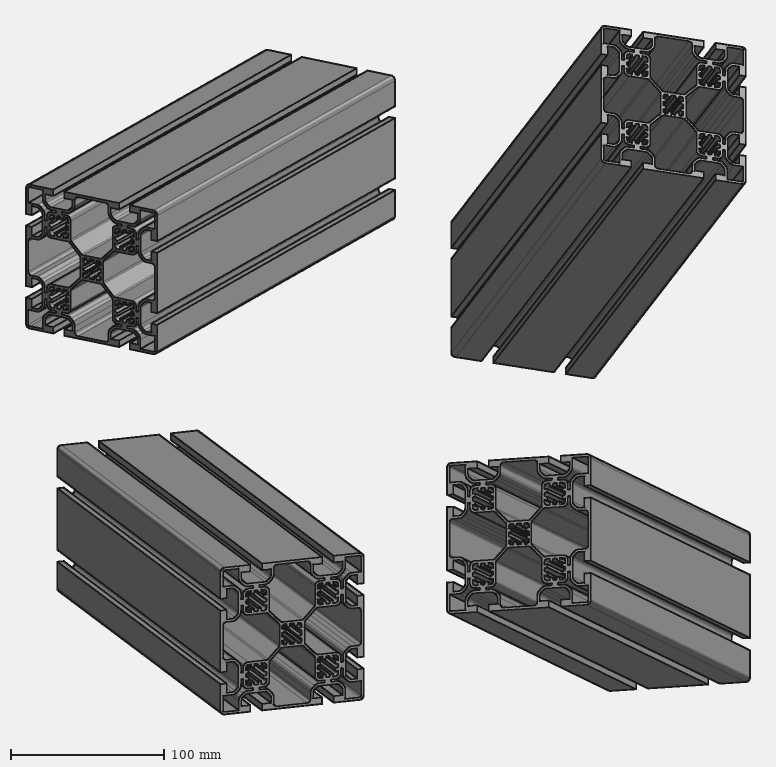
import cadquery as cq
import math

length = 300
width = length / 3
half = width / 2
wall = 1.8
outer_radius = 3.0
inner_radius = 1.0

slot_offset = width / 4
slot_opening = 8.0
lip_thickness = 4.5
chamber_width = 20.7
chamber_depth = 12.5
chamber_chamfer = 3.3
chamber_fillet = 3.0
chamber_back_chamfer = 4.2
chamber_back_fillet = 4.5
lip_fillet = 2.5

channel_width = 18.0
channel_radius = 3.3
channel_inner_radius = 2.0
channel_tooth_height = 1.95
channel_groove_radius = 1.5
channel_teeth_width = 7.2
rib_width = 4.2
rib_fillet = 0.75

core_width = 17.5
core_corner_chamfer = 1.2
core_tooth_offset = 2.7
core_tooth_base = 3.0
core_tooth_tip = 1.0
core_tooth_height = 2.25

web_thickness = 1.8
web_fillet = 1.8


def prism(points):
    """Full-length bar with the given outline in the XZ plane."""
    return cq.Workplane("XZ").polyline(points).close().extrude(length / 2, both=True)


def box_bar(x_min, x_max, z_min, z_max):
    """Full-length rectangular bar."""
    return prism([(x_min, z_min), (x_max, z_min), (x_max, z_max), (x_min, z_max)])


def square_bar(side):
    """Full-length square bar on the Y axis."""
    return box_bar(-side / 2, side / 2, -side / 2, side / 2)


def turned(shape, quarter_turns):
    """Shape turned about the Y axis."""
    return shape.rotate((0, 0, 0), (0, 1, 0), 90 * quarter_turns)


def four_around(shape):
    """Four copies of a shape, a quarter turn apart about the Y axis."""
    group = shape
    for quarter_turns in range(1, 4):
        group = group.union(turned(shape, quarter_turns))
    return group


def trough(half_width, top, floor, chamfer, fillet):
    """Bar under a slot, with both lower corners chamfered and the chamfers blended in."""
    block = box_bar(slot_offset - half_width, slot_offset + half_width, floor, top)
    chamfered = block.edges("|Y and <Z").chamfer(chamfer)
    chamfer_edges = chamfered.edges("|Y").filter(lambda edge: edge.Center().z < floor + 1.5 * chamfer)
    return chamfer_edges.fillet(fillet)


chamber_half = chamber_width / 2
chamber_floor = half - chamber_depth
slot_floor_back = chamber_floor - wall
channel_half = channel_width / 2
core_half = core_width / 2


def slot_opening_cut():
    """Slot mouth and the wider chamber behind the lips."""
    mouth_left = slot_offset - slot_opening / 2
    mouth = box_bar(mouth_left, mouth_left + slot_opening, chamber_floor + wall, half)
    chamber = trough(chamber_half, half - lip_thickness, chamber_floor, chamber_chamfer, chamber_fillet)
    return mouth.union(chamber)


def slot_walls():
    """Solid around one slot, before the slot is cut, with a fillet toward the middle of the side."""
    body = trough(
        chamber_half + wall,
        half - wall / 2,
        slot_floor_back,
        chamber_back_chamfer,
        chamber_back_fillet,
    )
    inner_side = slot_offset - chamber_half - wall
    skin = half - wall
    gusset = (
        cq.Workplane("XZ")
        .moveTo(inner_side + wall / 2, skin + wall / 2)
        .lineTo(inner_side - lip_fillet, skin + wall / 2)
        .lineTo(inner_side - lip_fillet, skin)
        .radiusArc((inner_side, skin - lip_fillet), lip_fillet)
        .lineTo(inner_side + wall / 2, skin - lip_fillet)
        .close()
        .extrude(length / 2, both=True)
    )
    return body.union(gusset)


def slot_rib():
    """Short flared rib joining a slot floor to its screw channel."""
    top = slot_floor_back
    bottom = slot_offset + channel_half
    right = slot_offset + rib_width / 2
    left = slot_offset - rib_width / 2
    overlap = wall / 2
    return (
        cq.Workplane("XZ")
        .moveTo(left - rib_fillet, top + overlap)
        .lineTo(left - rib_fillet, top)
        .radiusArc((left, top - rib_fillet), rib_fillet)
        .lineTo(left, bottom + rib_fillet)
        .radiusArc((left - rib_fillet, bottom), rib_fillet)
        .lineTo(left - rib_fillet, bottom - overlap)
        .lineTo(right + rib_fillet, bottom - overlap)
        .lineTo(right + rib_fillet, bottom)
        .radiusArc((right, bottom + rib_fillet), rib_fillet)
        .lineTo(right, top - rib_fillet)
        .radiusArc((right + rib_fillet, top), rib_fillet)
        .lineTo(right + rib_fillet, top + overlap)
        .close()
        .extrude(length / 2, both=True)
    )


def screw_channel():
    """Square tube with two teeth on each inner side and a round-bottomed groove between them.

    The outer corner facing the core stays sharp.
    """
    tube = square_bar(channel_width)
    core_corner = tube.edges("|Y").edges("<X").edges("<Z")
    rounded = tube.edges("|Y").filter(lambda edge: not core_corner.val().isSame(edge))
    tube = rounded.fillet(channel_radius)
    hollow_half = channel_half - wall
    hollow = square_bar(2 * hollow_half).edges("|Y").fillet(channel_inner_radius)
    tip = hollow_half - channel_tooth_height
    groove_center = hollow_half - channel_groove_radius
    tooth_pair = box_bar(-channel_teeth_width / 2, channel_teeth_width / 2, tip, hollow_half + wall / 2)
    groove_mouth = box_bar(-channel_groove_radius, channel_groove_radius, tip, groove_center)
    groove_bottom = (
        cq.Workplane("XZ")
        .center(0, groove_center)
        .circle(channel_groove_radius)
        .extrude(length / 2, both=True)
    )
    teeth = four_around(tooth_pair.cut(groove_mouth).cut(groove_bottom))
    channel = tube.cut(hollow).union(teeth)
    return channel.translate((slot_offset, 0, slot_offset))


def web():
    """Diagonal web from the core to the nearest corner of a screw channel."""
    start = core_half * math.sqrt(2) - wall
    end = (slot_offset - channel_half) * math.sqrt(2) + wall
    blade = box_bar(start, end, -web_thickness / 2, web_thickness / 2)
    return blade.rotate((0, 0, 0), (0, 1, 0), -45)


def framework():
    """Solid core joined to the four screw channels by filleted webs."""
    frame = square_bar(core_width).union(four_around(screw_channel().union(web())))
    web_spread = web_thickness / math.sqrt(2)
    channel_near = slot_offset - channel_half
    junctions = [(core_half - web_spread, core_half), (channel_near, channel_near + web_spread)]

    def is_junction(edge):
        """True where a web meets a flat face of the core or of a screw channel."""
        center = edge.Center()
        place = sorted([abs(center.x), abs(center.z)])
        return any(math.dist(place, junction) < web_spread / 4 for junction in junctions)

    return frame.edges("|Y").filter(is_junction).fillet(web_fillet)


def core_hollow():
    """Cavity of the core: a square with eight tapered teeth left standing in it."""
    hollow_half = core_half - wall
    hollow = square_bar(2 * hollow_half).edges("|Y").chamfer(core_corner_chamfer)
    right_tooth = prism([
        (core_tooth_offset - core_tooth_base / 2, hollow_half),
        (core_tooth_offset - core_tooth_tip / 2, hollow_half - core_tooth_height),
        (core_tooth_offset + core_tooth_tip / 2, hollow_half - core_tooth_height),
        (core_tooth_offset + core_tooth_base / 2, hollow_half),
    ])
    return hollow.cut(four_around(right_tooth.union(right_tooth.mirror("YZ"))))


def outer_skin():
    """Thin square tube with rounded corners."""
    outside = square_bar(width).edges("|Y").fillet(outer_radius)
    inside = square_bar(width - 2 * wall).edges("|Y").fillet(inner_radius)
    return outside.cut(inside)


right_slot = slot_walls().union(slot_rib())
slot_pair = right_slot.union(right_slot.mirror("YZ"))
right_cut = slot_opening_cut()
cut_pair = right_cut.union(right_cut.mirror("YZ"))

result = outer_skin().union(four_around(slot_pair)).cut(four_around(cut_pair))
result = result.union(framework()).cut(core_hollow())